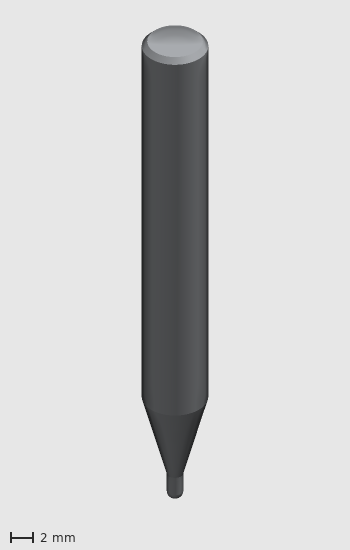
import cadquery as cq
import math

total_length = 50.0
shank_diameter = 6.0
shank_chamfer = 0.5
tip_diameter = 1.5
tip_length = 2.3
neck_top = 2.65
taper_half_angle = 15.0

shank_radius = shank_diameter / 2
tip_radius = tip_diameter / 2
taper_height = (shank_radius - tip_radius) / math.tan(math.radians(taper_half_angle))
taper_top = neck_top + taper_height


def revolve_about_z(profile):
    """Turn a closed (radius, height) profile around the Z axis."""
    return profile.revolve(360, (0, 0, 0), (0, 1, 0))


def make_shank():
    """Chamfered cylinder tapering down to a short straight neck."""
    profile = (
        cq.Workplane("XZ")
        .moveTo(0, tip_length)
        .lineTo(tip_radius, tip_length)
        .lineTo(tip_radius, neck_top)
        .lineTo(shank_radius, taper_top)
        .lineTo(shank_radius, total_length - shank_chamfer)
        .lineTo(shank_radius - shank_chamfer, total_length)
        .lineTo(0, total_length)
        .close()
    )
    return revolve_about_z(profile)


def make_tip():
    """Cylindrical tip with a hemispherical end, butting against the neck."""
    arc_offset = tip_radius * math.sin(math.radians(45))
    profile = (
        cq.Workplane("XZ")
        .moveTo(0, 0)
        .threePointArc((arc_offset, tip_radius - arc_offset), (tip_radius, tip_radius))
        .lineTo(tip_radius, tip_length)
        .lineTo(0, tip_length)
        .close()
    )
    return revolve_about_z(profile)


shank = make_shank()
tip = make_tip()
result = cq.Compound.makeCompound([shank.val(), tip.val()])